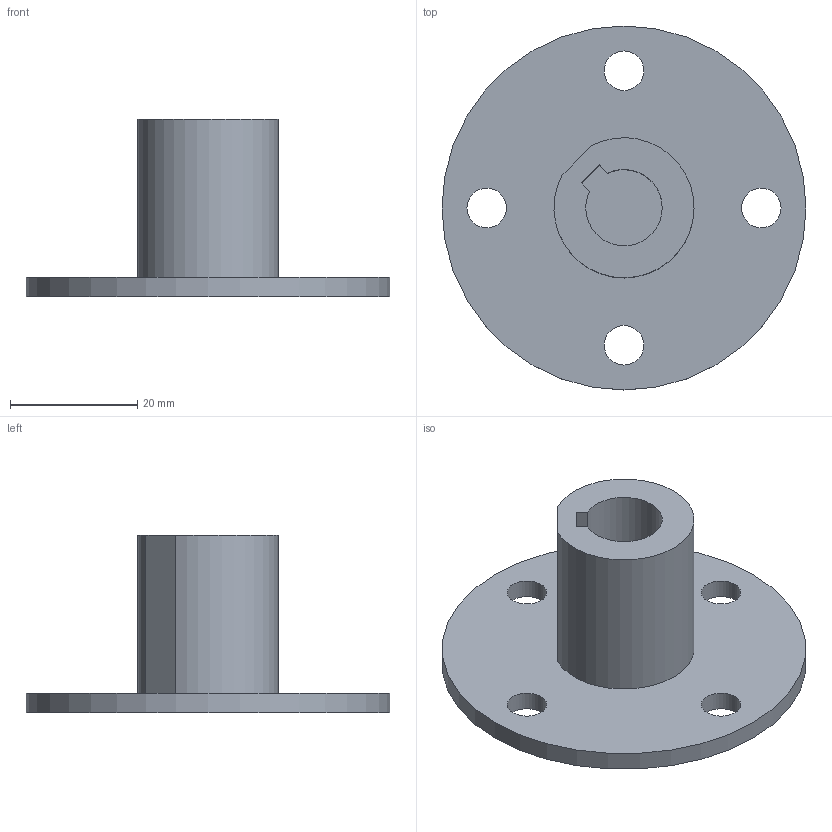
import cadquery as cq

flange_diameter = 57.15
flange_thickness = 3.0
bolt_hole_diameter = 6.22
bolt_circle_diameter = 43.1
bolt_hole_count = 4

overall_height = 27.82
hub_diameter = 22.0
flat_distance = 10.5
hub_height = overall_height - flange_thickness

bore_diameter = 12.0
bore_depth = hub_height
keyway_width = 4.0
keyway_reach = 7.5
key_angle = 135.0


def make_flange():
    """Round plate with its underside at Z = 0 and a circle of bolt holes."""
    plate = cq.Workplane("XY").circle(flange_diameter / 2).extrude(flange_thickness)
    holes = (
        cq.Workplane("XY")
        .polarArray(bolt_circle_diameter / 2, 0, 360, bolt_hole_count)
        .circle(bolt_hole_diameter / 2)
        .extrude(flange_thickness)
    )
    return plate.cut(holes)


def radial_block(inner, outer, width, bottom, height):
    """Box spanning inner to outer along the key direction, centred across it."""
    return (
        cq.Workplane("XY", origin=(0, 0, bottom))
        .center((inner + outer) / 2, 0)
        .rect(outer - inner, width)
        .extrude(height)
        .rotate((0, 0, 0), (0, 0, 1), key_angle)
    )


def make_hub():
    """Cylinder standing on the flange, with one full-height flat."""
    cylinder = (
        cq.Workplane("XY", origin=(0, 0, flange_thickness))
        .circle(hub_diameter / 2)
        .extrude(hub_height)
    )
    flat_cutter = radial_block(
        flat_distance, hub_diameter, hub_diameter, flange_thickness, hub_height
    )
    return cylinder.cut(flat_cutter)


def make_keyed_bore():
    """Solid to remove: the round bore together with its keyway."""
    bore_floor = overall_height - bore_depth
    bore = (
        cq.Workplane("XY", origin=(0, 0, bore_floor))
        .circle(bore_diameter / 2)
        .extrude(bore_depth)
    )
    keyway = radial_block(0, keyway_reach, keyway_width, bore_floor, bore_depth)
    return bore.union(keyway)


result = make_flange().union(make_hub()).cut(make_keyed_bore())